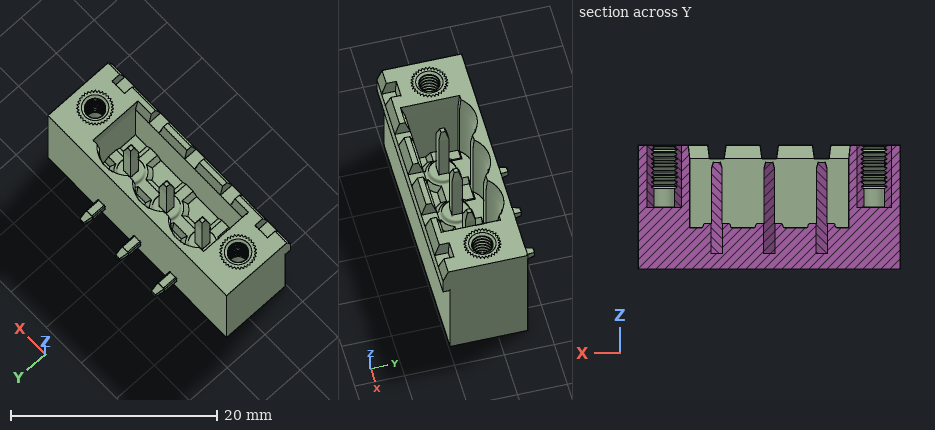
import cadquery as cq
import math

LENGTH = 25.4
HEIGHT = 12.01
OVERALL_DEPTH = 11.1
BACK_Y = 3.9
LIP_Y = -4.6
LIP_OVERHANG = 0.7
LIP_HEIGHT = 3.0
LIP_CHAMFER_RUN = 0.52
NOTCH_DEPTH = 1.3
FRONT_Y = LIP_Y + LIP_OVERHANG

PITCH = 5.08
PIN_XS = [-PITCH, 0, PITCH]
INSERT_XS = [-2 * PITCH, 2 * PITCH]

CAVITY_HALF_LENGTH = 7.7
CAVITY_FRONT_Y = -3.05
CAVITY_BACK_Y = 2.25
SIDE_FLARE = 0.14
FRONT_FLARE = 0.46
BACK_FLARE = 0.17
FLARE_Z = HEIGHT - NOTCH_DEPTH

LOBE_CENTER_Y = 0.3
LOBE_RADIUS = 2.85
LOBE_MOUTH_RADIUS = 3.08
LOBE_FRONT_Y = 1.8

PAD_Z = 3.5
RIB_HEIGHT = 0.5
RIB_Z = PAD_Z + RIB_HEIGHT
CROSS_RIB_WIDTH = 1.04
FRONT_RIB_WIDTH = 1.0
BACK_RIB_WIDTH = 2.26
PLINTH_RADIUS = 1.66
HUB_FOOT_RADIUS = 3.2 / 2
HUB_FILLET = 0.22

NOTCH_TOP_WIDTH = 1.76
NOTCH_FLOOR_WIDTH = 1.4
NOTCH_BACK_SLOPE = 0.15
END_NOTCH_REACH = 1.52

PIN_WIDTH = 1.04
PIN_TOP_Z = 10.78
PIN_TAPER = 1.0
PIN_TIP_WIDTH = 0.44
TAIL_WIDTH = 1.0
TAIL_Z = 2.03
TAIL_END_Y = LIP_Y + OVERALL_DEPTH
TAIL_TIP_WIDTH = 0.56
TAIL_TAPER_WIDTH = 0.9
TAIL_EDGE_CHAMFER = 0.13

INSERT_DEPTH = 6.0
KNURL_ROOT_RADIUS = 3.18 / 2
KNURL_TIP_RADIUS = 1.8
KNURL_TEETH = 31
THREAD_MINOR_RADIUS = 1.03
THREAD_MAJOR_RADIUS = 1.3
THREAD_PITCH = 0.45
THREAD_CREST = 0.12
THREAD_GROOVES = 9
COUNTERSINK_RADIUS = 1.33
COUNTERSINK_DEPTH = 0.15


def box(x0, x1, y0, y1, z0, z1):
    """Axis-aligned block between two opposite corners."""
    return cq.Workplane("XY").box(x1 - x0, y1 - y0, z1 - z0, centered=False).translate((x0, y0, z0))


def square_taper(base_width, tip_width, length):
    """Square pyramid stub growing along +Z from the origin."""
    return (
        cq.Workplane("XY")
        .rect(base_width, base_width)
        .workplane(offset=length)
        .rect(tip_width, tip_width)
        .loft(ruled=True)
    )


def make_block():
    """Outer body with the overhanging, chamfered front lip."""
    profile = [
        (BACK_Y, 0),
        (BACK_Y, HEIGHT),
        (LIP_Y + LIP_CHAMFER_RUN, HEIGHT),
        (LIP_Y, HEIGHT - NOTCH_DEPTH),
        (LIP_Y, HEIGHT - LIP_HEIGHT),
        (FRONT_Y, HEIGHT - LIP_HEIGHT),
        (FRONT_Y, 0),
    ]
    return cq.Workplane("YZ").polyline(profile).close().extrude(LENGTH / 2, both=True)


def make_lobe():
    """Round bay in the back wall, widening to a cone at the mouth, for a pin at X = 0."""
    bay = cq.Workplane("XY", origin=(0, LOBE_CENTER_Y, RIB_Z)).circle(LOBE_RADIUS).extrude(HEIGHT - RIB_Z)
    mouth = (
        cq.Workplane("XY", origin=(0, LOBE_CENTER_Y, FLARE_Z))
        .circle(LOBE_RADIUS)
        .workplane(offset=NOTCH_DEPTH)
        .circle(LOBE_MOUTH_RADIUS)
        .loft(ruled=True)
    )
    half = PITCH / 2
    return bay.union(mouth).intersect(box(-half, half, LOBE_FRONT_Y, BACK_Y, RIB_Z, HEIGHT))


def make_rib(top_width, start, end, plane):
    """Trapezoidal floor rib with 45 degree flanks; its section lies in the given plane."""
    half = top_width / 2
    section = [(-half - RIB_HEIGHT, PAD_Z), (half + RIB_HEIGHT, PAD_Z), (half, RIB_Z), (-half, RIB_Z)]
    return cq.Workplane(plane).workplane(offset=start).polyline(section).close().extrude(end - start)


def make_hub():
    """Conical plinth and low hub around the foot of a pin at X = 0.

    The hub flank is an S curve: a concave quarter arc at the foot, then a convex one to the flat top.
    """
    wall_radius = HUB_FOOT_RADIUS - HUB_FILLET
    wall_z = RIB_Z + HUB_FILLET
    top_radius = wall_radius - HUB_FILLET
    top_z = wall_z + HUB_FILLET
    bulge = HUB_FILLET * math.sqrt(0.5)
    return (
        cq.Workplane("XZ")
        .moveTo(0, PAD_Z)
        .lineTo(PLINTH_RADIUS + RIB_HEIGHT, PAD_Z)
        .lineTo(PLINTH_RADIUS, RIB_Z)
        .lineTo(HUB_FOOT_RADIUS, RIB_Z)
        .threePointArc((HUB_FOOT_RADIUS - bulge, wall_z - bulge), (wall_radius, wall_z))
        .threePointArc((top_radius + bulge, wall_z + bulge), (top_radius, top_z))
        .lineTo(0, top_z)
        .close()
        .revolve(360, (0, 0, 0), (0, 1, 0))
    )


def make_cavity():
    """Space removed from the block, with the floor ribs and hubs left standing."""
    center_y = (CAVITY_FRONT_Y + CAVITY_BACK_Y) / 2
    depth_y = CAVITY_BACK_Y - CAVITY_FRONT_Y
    cavity = box(
        -CAVITY_HALF_LENGTH, CAVITY_HALF_LENGTH, CAVITY_FRONT_Y, CAVITY_BACK_Y, PAD_Z, HEIGHT
    )
    flare = (
        cq.Workplane("XY", origin=(0, center_y, FLARE_Z))
        .rect(2 * CAVITY_HALF_LENGTH, depth_y)
        .workplane(offset=NOTCH_DEPTH)
        .center(0, (BACK_FLARE - FRONT_FLARE) / 2)
        .rect(2 * (CAVITY_HALF_LENGTH + SIDE_FLARE), depth_y + BACK_FLARE + FRONT_FLARE)
        .loft(ruled=True)
    )
    cavity = cavity.union(flare)
    cavity = cavity.cut(make_rib(CROSS_RIB_WIDTH, -CAVITY_HALF_LENGTH, CAVITY_HALF_LENGTH, "YZ"))
    front_rib = make_rib(FRONT_RIB_WIDTH, 0, -CAVITY_FRONT_Y, "XZ")
    back_rib = make_rib(BACK_RIB_WIDTH, -CAVITY_BACK_Y, 0, "XZ")
    lobe = make_lobe()
    hub = make_hub()
    for x in PIN_XS:
        cavity = cavity.union(lobe.translate((x, 0, 0)))
        for raised in (front_rib, back_rib, hub):
            cavity = cavity.cut(raised.translate((x, 0, 0)))
    return cavity


def make_notch(reach):
    """Notch through the lip with sloped sides and back; reach is its depth along Y at the top."""
    floor_reach = reach - NOTCH_BACK_SLOPE
    return (
        cq.Workplane("XY", origin=(0, LIP_Y + floor_reach / 2, FLARE_Z))
        .rect(NOTCH_FLOOR_WIDTH, floor_reach)
        .workplane(offset=NOTCH_DEPTH)
        .center(0, NOTCH_BACK_SLOPE / 2)
        .rect(NOTCH_TOP_WIDTH, reach)
        .loft(ruled=True)
    )


def make_pin():
    """L-shaped square pin: tapered upright contact and tapered solder tail leaving the back."""
    half = PIN_WIDTH / 2
    upright = box(-half, half, -half, half, TAIL_Z - half, PIN_TOP_Z - PIN_TAPER)
    tip = square_taper(PIN_WIDTH, PIN_TIP_WIDTH, PIN_TAPER).translate((0, 0, PIN_TOP_Z - PIN_TAPER))
    tail_taper_y = TAIL_END_Y - PIN_TAPER
    tail_half = TAIL_WIDTH / 2
    tail = box(-tail_half, tail_half, half, tail_taper_y, TAIL_Z - tail_half, TAIL_Z + tail_half)
    tail = tail.edges("|Y").chamfer(TAIL_EDGE_CHAMFER)
    tail_tip = (
        square_taper(TAIL_TAPER_WIDTH, TAIL_TIP_WIDTH, PIN_TAPER)
        .rotate((0, 0, 0), (1, 0, 0), -90)
        .translate((0, tail_taper_y, TAIL_Z))
    )
    return upright.union(tip).union(tail).union(tail_tip)


def make_knurled_blank():
    """Solid insert blank with triangular knurl teeth, one of them pointing to -Y."""
    outline = []
    for step in range(2 * KNURL_TEETH):
        radius = KNURL_ROOT_RADIUS if step % 2 else KNURL_TIP_RADIUS
        angle = -math.pi / 2 + step * math.pi / KNURL_TEETH
        outline.append((radius * math.cos(angle), radius * math.sin(angle)))
    floor_z = HEIGHT - INSERT_DEPTH
    return cq.Workplane("XY", origin=(0, 0, floor_z)).polyline(outline).close().extrude(INSERT_DEPTH)


def make_threaded_bore():
    """Bore with a countersunk mouth and V grooves that stand for the thread."""
    countersink_z = HEIGHT - COUNTERSINK_DEPTH
    profile = [
        (0, HEIGHT),
        (COUNTERSINK_RADIUS, HEIGHT),
        (THREAD_MINOR_RADIUS, countersink_z),
    ]
    for groove in range(THREAD_GROOVES):
        groove_top = countersink_z - THREAD_CREST - groove * THREAD_PITCH
        groove_bottom = groove_top - THREAD_PITCH + THREAD_CREST
        profile.append((THREAD_MINOR_RADIUS, groove_top))
        profile.append((THREAD_MAJOR_RADIUS, (groove_top + groove_bottom) / 2))
        profile.append((THREAD_MINOR_RADIUS, groove_bottom))
    floor_z = HEIGHT - INSERT_DEPTH
    profile += [(THREAD_MINOR_RADIUS, floor_z), (0, floor_z)]
    return cq.Workplane("XZ").polyline(profile).close().revolve(360, (0, 0, 0), (0, 1, 0))


pin = make_pin()
blank = make_knurled_blank()
insert = blank.cut(make_threaded_bore())
pins = [pin.translate((x, 0, 0)) for x in PIN_XS]
inserts = [insert.translate((x, 0, 0)) for x in INSERT_XS]

housing = make_block().cut(make_cavity())
pin_notch = make_notch(CAVITY_FRONT_Y - LIP_Y + NOTCH_BACK_SLOPE)
for x in PIN_XS:
    housing = housing.cut(pin_notch.translate((x, 0, 0)))
end_notch = make_notch(END_NOTCH_REACH)
for x in INSERT_XS:
    housing = housing.cut(end_notch.translate((x, 0, 0)))
for pin_body in pins:
    housing = housing.cut(pin_body)
for x in INSERT_XS:
    housing = housing.cut(blank.translate((x, 0, 0)))

result = cq.Compound.makeCompound(
    [housing.val()] + [body.val() for body in pins] + [body.val() for body in inserts]
)